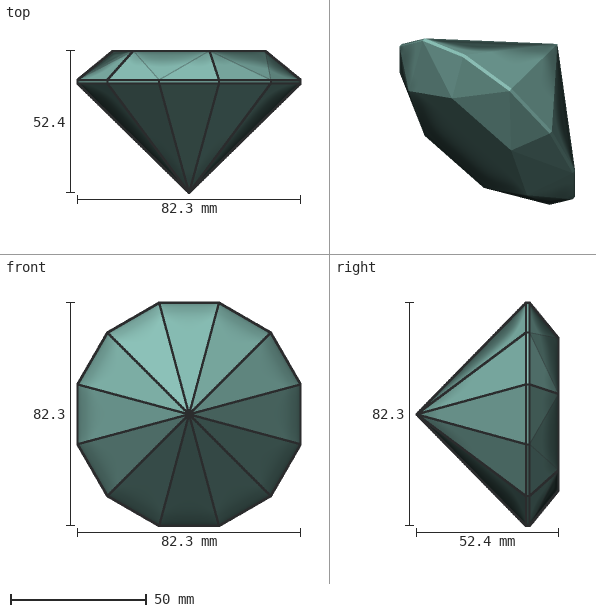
import cadquery as cq
import math

width = 82.3
total_depth = 52.35
crown_depth = 10.7
girdle_thickness = 1.3
table_radius = 29.05

girdle_sides = 12
table_sides = girdle_sides // 2
half_step = math.pi / girdle_sides
girdle_radius = width / 2 / math.cos(half_step)
pavilion_depth = total_depth - crown_depth - girdle_thickness
girdle_top = pavilion_depth + girdle_thickness


def ring(radius, y, count):
    """Evenly spaced corners around the Y axis, the first half a girdle step above +X."""
    angles = [half_step + 2 * math.pi * i / count for i in range(count)]
    return [cq.Vector(radius * math.cos(a), y, radius * math.sin(a)) for a in angles]


def facet(*corners):
    return cq.Face.makeFromWires(cq.Wire.makePolygon(list(corners), close=True))


point = cq.Vector(0, 0, 0)
lower = ring(girdle_radius, pavilion_depth, girdle_sides)
upper = ring(girdle_radius, girdle_top, girdle_sides)
table = ring(table_radius, total_depth, table_sides)

facets = [facet(*table)]

for i in range(girdle_sides):
    following = (i + 1) % girdle_sides
    facets.append(facet(point, lower[i], lower[following]))
    facets.append(facet(lower[i], lower[following], upper[following], upper[i]))

for i in range(table_sides):
    corner = table[i]
    next_corner = table[(i + 1) % table_sides]
    before = upper[2 * i - 1]
    aligned = upper[2 * i]
    after = upper[2 * i + 1]
    facets.append(facet(corner, before, aligned))
    facets.append(facet(corner, aligned, after))
    facets.append(facet(corner, after, next_corner))

gem = cq.Solid.makeSolid(cq.Shell.makeShell(facets))
result = cq.Workplane("XY").newObject([gem.fix()])